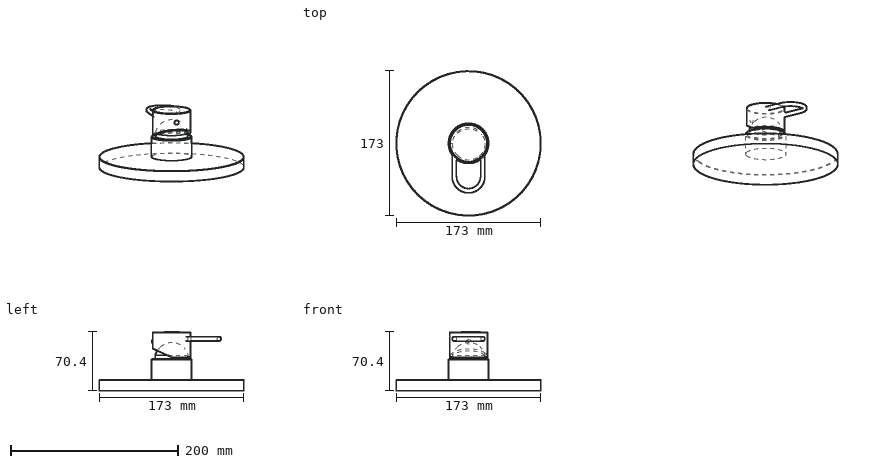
import cadquery as cq
import math

plate_radius = 86.5
plate_height = 13.0
plate_edge = 0.5
base_radius = 24.0
base_top = 38
base_edge = 1.0
neck_radius = 19.5
dome_radius = 20.0

cap_radius = 22.7
cap_bottom = 40.1
cap_rim = 70.0
cap_top = 70.4
cap_edge = 0.7
relief_top = 50.5

button_radius = 2.6
button_rise = 0.9
button_height = 59.0

rod_radius = 2.6
loop_radius = 17.0
loop_height = 62.1
bend_start = -39.6
rod_root = -10.4
joint_fillet = 1.7

dome_start = base_top + math.sqrt(dome_radius**2 - neck_radius**2)
dome_top = base_top + dome_radius
dome_mid = dome_radius / math.sqrt(2)


def make_neck():
    """Domed neck; it also serves as the cutter for the socket in the handle."""
    return (
        cq.Workplane("XZ")
        .moveTo(0, base_top)
        .lineTo(neck_radius, base_top)
        .lineTo(neck_radius, dome_start)
        .threePointArc((dome_mid, base_top + dome_mid), (0, dome_top))
        .close()
        .revolve(360, (0, 0), (0, 1))
    )


def make_body():
    """Wall plate, cylindrical base and domed neck in one piece."""
    plate = cq.Workplane("XY").circle(plate_radius).extrude(plate_height)
    plate = plate.faces(">Z").chamfer(plate_edge)
    base = cq.Workplane("XY").circle(base_radius).extrude(base_top)
    base = base.faces(">Z").chamfer(base_edge)
    return plate.union(base).union(make_neck())


def make_cap():
    """Cylinder with a softened rim, a slightly domed top and a sloping relief at the back."""
    crown_radius = cap_radius - cap_edge
    crown_rise = cap_top - cap_rim
    crown_sphere = (crown_radius**2 + crown_rise**2) / (2 * crown_rise)
    crown_mid = crown_radius / 2
    crown_mid_height = cap_top - crown_sphere + math.sqrt(crown_sphere**2 - crown_mid**2)
    cap = (
        cq.Workplane("XZ")
        .moveTo(0, cap_bottom)
        .lineTo(cap_radius, cap_bottom)
        .lineTo(cap_radius, cap_rim - cap_edge)
        .lineTo(crown_radius, cap_rim)
        .threePointArc((crown_mid, crown_mid_height), (0, cap_top))
        .close()
        .revolve(360, (0, 0), (0, 1))
    )
    relief = (
        cq.Workplane("YZ")
        .moveTo(0, cap_bottom)
        .lineTo(cap_radius, cap_bottom)
        .lineTo(cap_radius, relief_top)
        .close()
        .extrude(cap_radius, both=True)
    )
    return cap.cut(relief)


def make_loop():
    """U-shaped round rod whose two legs run into the front of the cap."""
    path = (
        cq.Workplane("XY", origin=(0, 0, loop_height))
        .moveTo(-loop_radius, rod_root)
        .lineTo(-loop_radius, bend_start)
        .threePointArc((0, bend_start - loop_radius), (loop_radius, bend_start))
        .lineTo(loop_radius, rod_root)
    )
    profile = cq.Workplane("XZ", origin=(-loop_radius, rod_root, loop_height)).circle(rod_radius)
    return profile.sweep(path)


def make_button():
    """Spherical bump that stands out of the back of the cap."""
    sphere_radius = (button_radius**2 + button_rise**2) / (2 * button_rise)
    centre_y = cap_radius + button_rise - sphere_radius
    return cq.Workplane("XY", origin=(0, centre_y, button_height)).sphere(sphere_radius)


def make_handle():
    """Cap, loop and button in one piece, with a socket that fits the neck."""
    handle = make_cap().union(make_loop())
    joint_reach = cap_radius + rod_radius
    joints = cq.selectors.BoxSelector(
        (-joint_reach, -joint_reach, loop_height - 2 * rod_radius),
        (joint_reach, 0, loop_height + 2 * rod_radius),
    )
    handle = handle.edges(joints).fillet(joint_fillet)
    return handle.union(make_button()).cut(make_neck())


body = make_body()
handle = make_handle()
result = cq.Compound.makeCompound([body.val(), handle.val()])